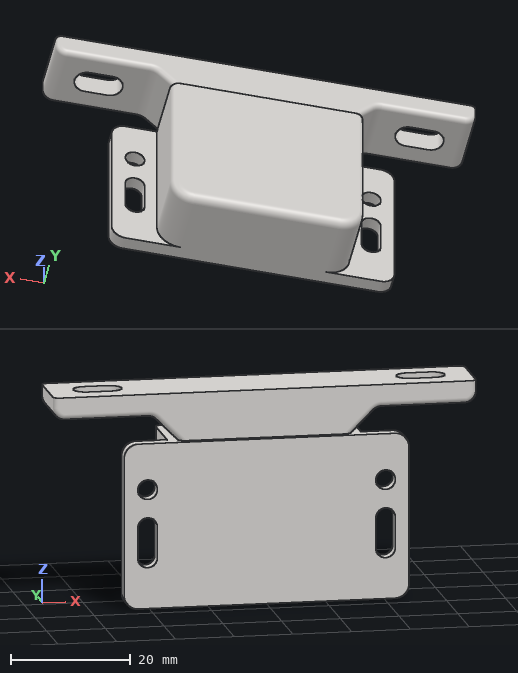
import cadquery as cq
import math

SIDES = (-1, 1)

plate_width = 48.5
plate_thickness = 2.4
housing_height = 28.3
housing_depth = 13.7
plate_corner_radius = 2.4
box_width = 33.0
box_bottom_radius = 4.0
box_back_fillet = 1.5
housing_front = -housing_depth / 2

fixing_spacing = 40.5
fixing_diameter = 3.3
round_hole_drop = 7.9
slot_drop = 17.0
fixing_slot_length = 8.5

flange_length = 72.0
flange_thickness = 3.9
catch_depth = 11.5
catch_height = 8.2
neck_foot_width = 29.5
neck_angle = 45.0
lower_corner_radius = 2.0
catch_edge_fillet = 1.0

flange_slot_spacing = 55.0
flange_slot_length = 8.2
flange_slot_width = 4.2


def make_housing():
    box_depth = housing_depth - plate_thickness
    plate = (
        cq.Workplane("XY")
        .box(plate_width, plate_thickness, housing_height, centered=(True, False, False))
        .edges("|Y")
        .fillet(plate_corner_radius)
        .translate((0, housing_front, -housing_height))
    )
    box = (
        cq.Workplane("XY")
        .box(box_width, box_depth, housing_height, centered=(True, False, False))
        .edges("|Y and <Z")
        .fillet(box_bottom_radius)
        .faces(">Y")
        .edges("not >Z")
        .fillet(box_back_fillet)
        .translate((0, housing_front + plate_thickness, -housing_height))
    )
    return plate.union(box).cut(make_fixing_holes())


def make_fixing_holes():
    """Cutters for a round hole above an upright slot in each ear of the plate."""
    back_of_plate = cq.Workplane("XZ", origin=(0, housing_front + plate_thickness, 0))
    round_holes = (
        back_of_plate
        .pushPoints([(side * fixing_spacing / 2, -round_hole_drop) for side in SIDES])
        .circle(fixing_diameter / 2)
        .extrude(plate_thickness)
    )
    slots = (
        back_of_plate
        .pushPoints([(side * fixing_spacing / 2, -slot_drop) for side in SIDES])
        .slot2D(fixing_slot_length, fixing_diameter, 90)
        .extrude(plate_thickness)
    )
    return round_holes.union(slots)


def make_catch():
    flange_bottom = catch_height - flange_thickness
    half_length = flange_length / 2
    half_foot = neck_foot_width / 2
    half_root = half_foot + flange_bottom / math.tan(math.radians(neck_angle))

    blank = (
        cq.Workplane("XZ")
        .moveTo(-half_foot, 0)
        .lineTo(half_foot, 0)
        .lineTo(half_root, flange_bottom)
        .lineTo(half_length, flange_bottom)
        .lineTo(half_length, catch_height)
        .lineTo(-half_length, catch_height)
        .lineTo(-half_length, flange_bottom)
        .lineTo(-half_root, flange_bottom)
        .close()
        .extrude(catch_depth / 2, both=True)
    )
    lower_corners = blank.edges("|Y").edges("not(<Z or >Z)")
    rounded = lower_corners.fillet(lower_corner_radius)
    rounded = rounded.faces("<Y or >Y").edges("not(<Z or >Z)").fillet(catch_edge_fillet)

    slots = (
        cq.Workplane("XY", origin=(0, 0, flange_bottom))
        .pushPoints([(side * flange_slot_spacing / 2, 0) for side in SIDES])
        .slot2D(flange_slot_length, flange_slot_width)
        .extrude(flange_thickness)
    )
    return rounded.cut(slots)


housing = make_housing()
catch = make_catch()

result = cq.Compound.makeCompound([housing.val(), catch.val()])